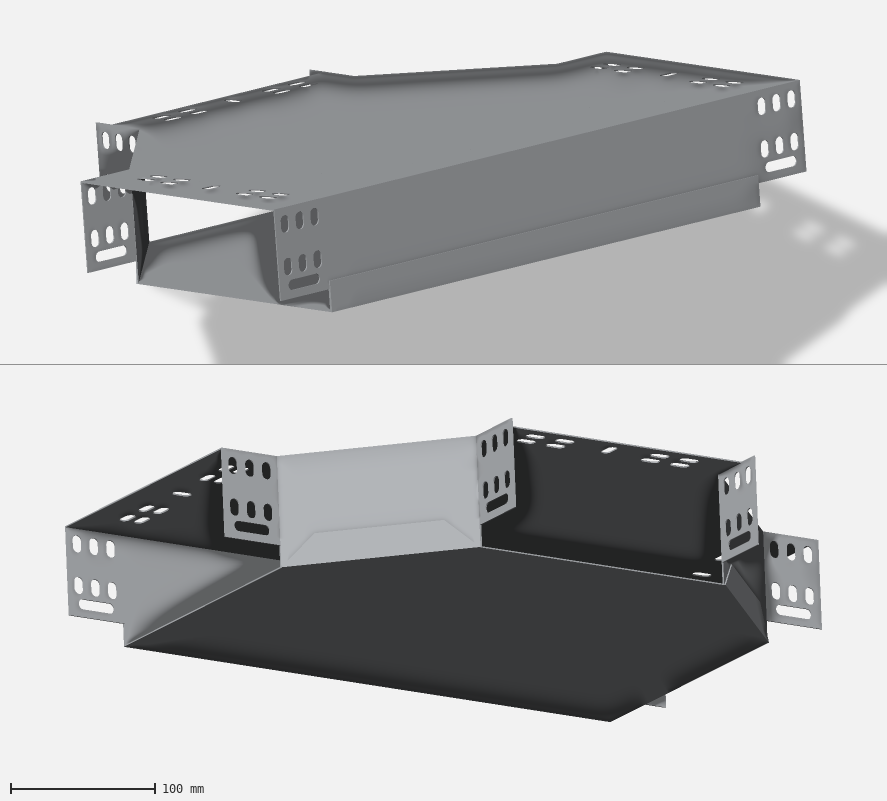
import cadquery as cq
import math


SHEET = 1.0
WALL_HEIGHT = 80.5
RUN_WIDTH = 201.0
CORNER_X = 200.5
GUSSET_REACH = 100.0
TAB_LENGTH = 45.5
BRANCH_FLOOR_LENGTH = 29.5

RUN_END_X = CORNER_X + TAB_LENGTH
RUN_FRONT_Y = -RUN_WIDTH
RUN_MIDDLE_Y = -RUN_WIDTH / 2
BRANCH_X = CORNER_X - GUSSET_REACH
THROAT_Y = RUN_FRONT_Y - GUSSET_REACH
BRANCH_TAB_END_Y = THROAT_Y - TAB_LENGTH
BRANCH_FLOOR_END_Y = THROAT_Y - BRANCH_FLOOR_LENGTH
CORNER = (CORNER_X, RUN_FRONT_Y)
THROAT = (BRANCH_X, THROAT_Y)

TAB_HEIGHT = 65.0
TAB_HOLE_PITCH = 14.0
TAB_LOW_ROW_Z = 12.0
TAB_HIGH_ROW_Z = 42.0
TAB_HOLE_LENGTH = 12.5
TAB_SLOT_Z = 55.5
TAB_SLOT_LENGTH = 29.0
SLOT_WIDTH = 7.5

FLOOR_SLOT_LENGTH = 15.0
INNER_PAIR_OFFSET = 39.0
OUTER_PAIR_OFFSET = 63.5
PAIR_SPACING = 12.0
RUN_PAIR_X = 212.5
RUN_SINGLE_X = 214.5
BRANCH_PAIR_Y = -313.5
BRANCH_SINGLE_Y = -315.5

LIP_DROP = 21.5
GUSSET_LIP_TAPER = 25.0
COVER_TOP_Z = WALL_HEIGHT + SHEET
LIP_EDGE_Z = WALL_HEIGHT - LIP_DROP

TILT_X = 151.17
TILT_Y = 19.3
TILT_Z = 61.2

LEVEL = 0
UPRIGHT = 90


def mirrored(half):
    """Join a +X half with its mirror image."""
    return half.union(half.mirror("YZ"))


def wall_face(start, end):
    """Plane of an outer wall face, with the outside of the tee on the right going start to end."""
    along = cq.Vector(end[0] - start[0], end[1] - start[1], 0)
    outward = along.cross(cq.Vector(0, 0, 1))
    return cq.Workplane(cq.Plane(origin=(*start, 0), xDir=along, normal=outward))



def tab(start, end):
    """Upright connecting tab, perforated symmetrically about its middle."""
    face = wall_face(start, end)
    middle = TAB_LENGTH / 2
    holes = [
        (middle + column * TAB_HOLE_PITCH, row_z)
        for column in (-1, 0, 1)
        for row_z in (TAB_LOW_ROW_Z, TAB_HIGH_ROW_Z)
    ]
    sheet = face.rect(TAB_LENGTH, TAB_HEIGHT, centered=False).extrude(-SHEET)
    upright_holes = face.pushPoints(holes).slot2D(TAB_HOLE_LENGTH, SLOT_WIDTH, UPRIGHT).extrude(-SHEET)
    slot = face.center(middle, TAB_SLOT_Z).slot2D(TAB_SLOT_LENGTH, SLOT_WIDTH, LEVEL).extrude(-SHEET)
    return sheet.cut(upright_holes).cut(slot)


def gusset_wall():
    """Diagonal wall between corner and throat, its ends flush with the tabs it joins."""
    end_width = SHEET * math.sqrt(2)
    outline = [CORNER, THROAT, (BRANCH_X - end_width, THROAT_Y), (CORNER_X, RUN_FRONT_Y + end_width)]
    return cq.Workplane().polyline(outline).close().extrude(WALL_HEIGHT)


def floor_slots(points, angle):
    """Cutter for slots through the floor, all turned by the same angle."""
    return cq.Workplane().pushPoints(points).slot2D(FLOOR_SLOT_LENGTH, SLOT_WIDTH, angle).extrude(SHEET)


def tray_floor():
    half_outline = [
        (0, 0),
        (RUN_END_X, 0),
        (RUN_END_X, RUN_FRONT_Y),
        CORNER,
        THROAT,
        (BRANCH_X, BRANCH_FLOOR_END_Y),
        (0, BRANCH_FLOOR_END_Y),
    ]
    floor = mirrored(cq.Workplane().polyline(half_outline).close().extrude(SHEET))

    across = [side * offset for side in (-1, 1) for offset in (INNER_PAIR_OFFSET, OUTER_PAIR_OFFSET)]
    within_pair = (-PAIR_SPACING / 2, PAIR_SPACING / 2)
    for side in (-1, 1):
        run_pairs = [(side * RUN_PAIR_X + x, RUN_MIDDLE_Y + y) for x in within_pair for y in across]
        floor = floor.cut(floor_slots(run_pairs, UPRIGHT))
        floor = floor.cut(floor_slots([(side * RUN_SINGLE_X, RUN_MIDDLE_Y)], LEVEL))
    branch_pairs = [(x, BRANCH_PAIR_Y + y) for x in across for y in within_pair]
    floor = floor.cut(floor_slots(branch_pairs, LEVEL))
    return floor.cut(floor_slots([(0, BRANCH_SINGLE_Y)], UPRIGHT))


def make_tray():
    back_wall = wall_face((CORNER_X, 0), (-CORNER_X, 0))
    back_wall = back_wall.rect(2 * CORNER_X, WALL_HEIGHT, centered=False).extrude(-SHEET)
    side_walls = (
        gusset_wall()
        .union(tab(CORNER, (RUN_END_X, RUN_FRONT_Y)))
        .union(tab((BRANCH_X, BRANCH_TAB_END_Y), THROAT))
    )
    back_tab = tab((RUN_END_X, 0), (CORNER_X, 0))
    return tray_floor().union(back_wall).union(mirrored(side_walls)).union(mirrored(back_tab))



def gusset_lip():
    """Lip over a gusset wall, tapered at both ends."""
    length = math.dist(THROAT, CORNER)
    outline = [
        (0, COVER_TOP_Z),
        (GUSSET_LIP_TAPER, LIP_EDGE_Z),
        (length - GUSSET_LIP_TAPER, LIP_EDGE_Z),
        (length, COVER_TOP_Z),
    ]
    return wall_face(THROAT, CORNER).polyline(outline).close().extrude(SHEET)


def back_lip():
    face = wall_face((CORNER_X, 0), (-CORNER_X, 0)).center(0, LIP_EDGE_Z)
    return face.rect(2 * CORNER_X, COVER_TOP_Z - LIP_EDGE_Z, centered=False).extrude(SHEET)


def make_cover():
    half_outline = [(0, 0), (CORNER_X, 0), CORNER, THROAT, (0, THROAT_Y)]
    half_plate = cq.Workplane().workplane(offset=WALL_HEIGHT).polyline(half_outline).close().extrude(SHEET)
    return mirrored(half_plate.union(gusset_lip())).union(back_lip())



def tilted(body):
    """Body turned from its level position to its final attitude."""
    body = body.rotate((0, 0, 0), (1, 0, 0), TILT_X)
    body = body.rotate((0, 0, 0), (0, 1, 0), TILT_Y)
    return body.rotate((0, 0, 0), (0, 0, 1), TILT_Z)


tray = tilted(make_tray())
cover = tilted(make_cover())

result = cq.Compound.makeCompound([*tray.solids().vals(), *cover.solids().vals()])